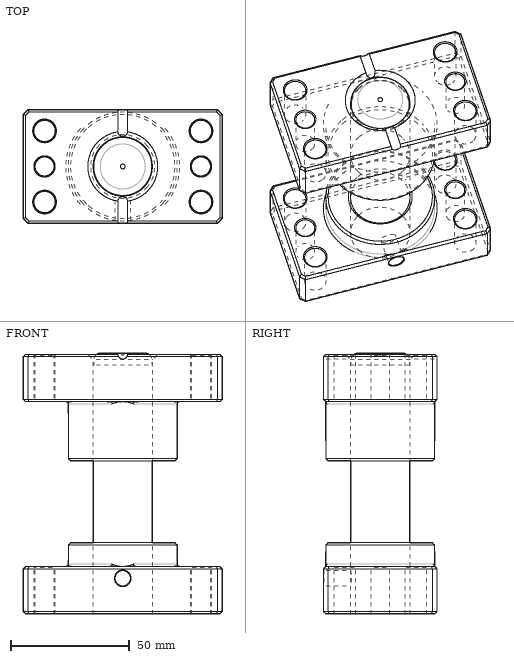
import cadquery as cq

PLATE_LENGTH = 84.0
PLATE_WIDTH = 48.0
PLATE_THICKNESS = 20.0
CORNER_CHAMFER = 2.0
EDGE_CHAMFER = 1.0

HOLE_X = 33.0
SCREW_HOLE_Y = 15.0
SCREW_HOLE_DIAMETER = 9.0
DOWEL_HOLE_DIAMETER = 8.0
HOLE_CHAMFER = 0.5
COUNTERSINK_ANGLE = 90.0

PIN_DIAMETER = 25.0
PIN_LENGTH = 110.0
PIN_LEAD_DIAMETER = 24.5
PIN_LEAD_LENGTH = 5.0
PIN_TIP_FLAT_DIAMETER = 19.0
PIN_TIP_RADIUS = (PIN_LEAD_DIAMETER - PIN_TIP_FLAT_DIAMETER) / 2
PIN_CENTER_DIAMETER = 2.0

HUB_DIAMETER = 46.0
HUB_EDGE_CHAMFER = 1.0
HUB_ROOT_FILLET = 1.0
ROOT_TRIM_INSET = 0.5
BASE_HUB_HEIGHT = 10.0
BASE_BORE_CHAMFER = 1.0
HEAD_HUB_HEIGHT = 25.0

PIN_PROTRUSION = 0.5
HEAD_TOP_Z = PIN_LENGTH - PIN_PROTRUSION
HEAD_BOTTOM_Z = HEAD_TOP_Z - PLATE_THICKNESS
HEAD_BORE_CHAMFER = 2.25
GROOVE_RADIUS = 2.0

CROSS_HOLE_DIAMETER = 6.5
CROSS_HOLE_CHAMFER = 0.25
CROSS_HOLE_Z = 15.0


def make_plate(bottom_z):
    """Chamfered rectangular plate with its six through holes."""
    plate = (
        cq.Workplane("XY", origin=(0, 0, bottom_z))
        .rect(PLATE_LENGTH, PLATE_WIDTH)
        .extrude(PLATE_THICKNESS)
        .edges("|Z")
        .chamfer(CORNER_CHAMFER)
        .faces("<Z or >Z")
        .chamfer(EDGE_CHAMFER)
    )
    hole_kinds = (
        (SCREW_HOLE_DIAMETER, (-SCREW_HOLE_Y, SCREW_HOLE_Y)),
        (DOWEL_HOLE_DIAMETER, (0,)),
    )
    for diameter, y_places in hole_kinds:
        places = [(x, y) for x in (-HOLE_X, HOLE_X) for y in y_places]
        plate = (
            plate.faces(">Z")
            .workplane(origin=(0, 0, 0))
            .pushPoints(places)
            .cskHole(diameter, diameter + 2 * HOLE_CHAMFER, COUNTERSINK_ANGLE)
        )
    return plate


def make_hub(height):
    """Hub standing on Z = 0, with a chamfered free end and a filleted root."""
    radius = HUB_DIAMETER / 2
    hub = cq.Workplane("XY").circle(radius).extrude(height).faces(">Z").chamfer(HUB_EDGE_CHAMFER)
    return hub.union(make_hub_root())


def make_hub_root():
    """Root fillet ring, trimmed where it would overhang the chamfered plate edges."""
    radius = HUB_DIAMETER / 2
    ring = (
        cq.Workplane("XZ")
        .lineTo(radius + HUB_ROOT_FILLET, 0)
        .radiusArc((radius, HUB_ROOT_FILLET), HUB_ROOT_FILLET)
        .lineTo(0, HUB_ROOT_FILLET)
        .close()
        .revolve(360, (0, 0, 0), (0, 1, 0))
    )
    flat_half_width = PLATE_WIDTH / 2 - EDGE_CHAMFER
    top_half_width = flat_half_width - ROOT_TRIM_INSET
    trim = (
        cq.Workplane("YZ")
        .polyline(
            [
                (-flat_half_width, 0),
                (flat_half_width, 0),
                (top_half_width, HUB_ROOT_FILLET),
                (-top_half_width, HUB_ROOT_FILLET),
            ]
        )
        .close()
        .extrude(PLATE_LENGTH / 2, both=True)
    )
    return ring.intersect(trim)


def make_pin_bore(top_z, mouth_chamfer):
    """Cutter for the pin bore, widening to a chamfered mouth at top_z."""
    radius = PIN_DIAMETER / 2
    profile = (
        cq.Workplane("XZ")
        .lineTo(radius, 0)
        .lineTo(radius, top_z - mouth_chamfer)
        .lineTo(radius + mouth_chamfer, top_z)
        .lineTo(0, top_z)
        .close()
    )
    return profile.revolve(360, (0, 0, 0), (0, 1, 0))


def make_cross_hole():
    """Cutter reaching from the front face to the pin bore, with a chamfered mouth."""
    radius = CROSS_HOLE_DIAMETER / 2
    front_y = -PLATE_WIDTH / 2
    profile = (
        cq.Workplane("XY", origin=(0, 0, CROSS_HOLE_Z))
        .lineTo(radius, 0)
        .lineTo(radius, front_y + CROSS_HOLE_CHAMFER)
        .lineTo(radius + CROSS_HOLE_CHAMFER, front_y)
        .lineTo(0, front_y)
        .close()
    )
    return profile.revolve(360, (0, 0, 0), (0, 1, 0))


def make_base():
    """Lower plate with its short hub, pin bore and front cross hole."""
    hub = make_hub(BASE_HUB_HEIGHT).translate((0, 0, PLATE_THICKNESS))
    bore = make_pin_bore(PLATE_THICKNESS + BASE_HUB_HEIGHT, BASE_BORE_CHAMFER)
    return make_plate(0).union(hub).cut(bore).cut(make_cross_hole()).solids()


def make_head():
    """Upper plate with its hanging hub, pin bore and round-bottomed top groove."""
    hub = (
        make_hub(HEAD_HUB_HEIGHT)
        .rotate((0, 0, 0), (1, 0, 0), 180)
        .translate((0, 0, HEAD_BOTTOM_Z))
    )
    bore = make_pin_bore(HEAD_TOP_Z, HEAD_BORE_CHAMFER)
    groove = (
        cq.Workplane("XZ", origin=(0, 0, HEAD_TOP_Z))
        .circle(GROOVE_RADIUS)
        .extrude(PLATE_WIDTH / 2, both=True)
    )
    return make_plate(HEAD_BOTTOM_Z).union(hub).cut(bore).cut(groove).solids()


def make_pin():
    """Guide pin with a slightly reduced lead, a rounded tip and a conical center mark."""
    lead_radius = PIN_LEAD_DIAMETER / 2
    center_radius = PIN_CENTER_DIAMETER / 2
    lead_start_z = PIN_LENGTH - PIN_LEAD_LENGTH
    profile = (
        cq.Workplane("XZ")
        .lineTo(PIN_DIAMETER / 2, 0)
        .lineTo(PIN_DIAMETER / 2, lead_start_z)
        .lineTo(lead_radius, lead_start_z)
        .lineTo(lead_radius, PIN_LENGTH - PIN_TIP_RADIUS)
        .radiusArc((PIN_TIP_FLAT_DIAMETER / 2, PIN_LENGTH), -PIN_TIP_RADIUS)
        .lineTo(center_radius, PIN_LENGTH)
        .lineTo(0, PIN_LENGTH - center_radius)
        .close()
    )
    return profile.revolve(360, (0, 0, 0), (0, 1, 0))


base = make_base()
head = make_head()
pin = make_pin()

result = cq.Compound.makeCompound([base.val(), head.val(), pin.val()])